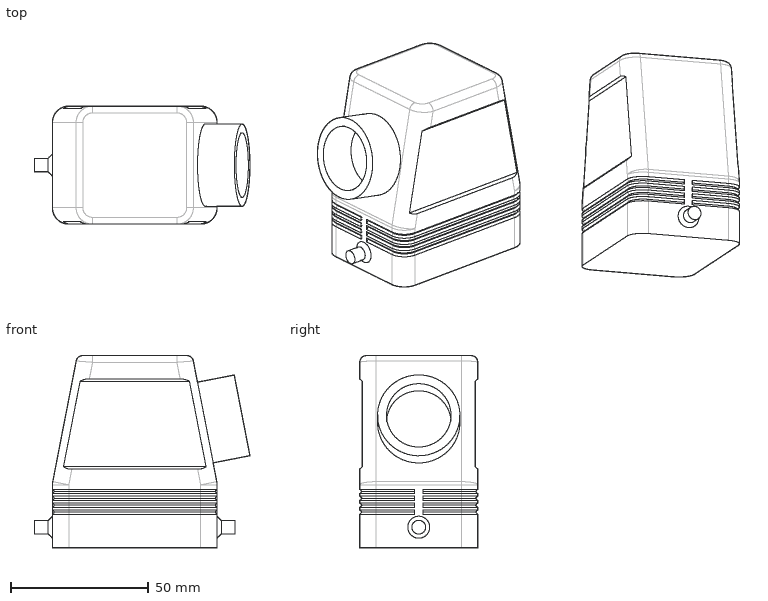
import cadquery as cq
import math

BODY_LENGTH = 60.0
BODY_WIDTH = 43.0
BODY_HEIGHT = 70.0
TAPER_START = 23.5
TAPER_ANGLE = 11.0
CORNER_RADIUS = 6.0
BEND_RADIUS = 6.0
ROOF_RADIUS = 2.5

PANEL_DEPTH = 0.9
PANEL_BOTTOM = 28.6
PANEL_TOP = 61.5

GROOVE_COUNT = 4
GROOVE_PITCH = 2.5
GROOVE_LOWEST_CENTRE = 13.0
GROOVE_WIDTH = 1.6
GROOVE_FLANK_ANGLE = 45.0
STRIP_WIDTH = 3.0

PIN_DIAMETER = 5.0
PIN_LENGTH = 6.5
PIN_HEIGHT = 7.5
FOOT_DIAMETER = 8.0
FOOT_LENGTH = 1.5

COLLAR_DIAMETER = 30.0
COLLAR_BORE = 23.5
COLLAR_TIP_X = 41.95
COLLAR_MOUTH_HEIGHT = 48.2

OVERLAP = 2.0

HALF_LENGTH = BODY_LENGTH / 2
HALF_WIDTH = BODY_WIDTH / 2
TAPER = math.radians(TAPER_ANGLE)


def make_body():
    roof_half_length = HALF_LENGTH - (BODY_HEIGHT - TAPER_START) * math.tan(TAPER)
    outline = [
        (-HALF_LENGTH, 0),
        (HALF_LENGTH, 0),
        (HALF_LENGTH, TAPER_START),
        (roof_half_length, BODY_HEIGHT),
        (-roof_half_length, BODY_HEIGHT),
        (-HALF_LENGTH, TAPER_START),
    ]
    body = cq.Workplane("XZ").polyline(outline).close().extrude(HALF_WIDTH, both=True)
    bends = [
        cq.selectors.NearestToPointSelector((side * HALF_LENGTH, 0, TAPER_START))
        for side in (1, -1)
    ]
    bend_edges = body.edges(bends[0]).add(body.edges(bends[1]))
    body = bend_edges.fillet(BEND_RADIUS)
    upright_edges = body.faces("|Y").edges("not(|X)")
    body = upright_edges.fillet(CORNER_RADIUS)
    return body.faces(">Z").edges().fillet(ROOF_RADIUS)


def make_panel_cut(side):
    """Trapezoidal bar that sinks one long side; side is +1 or -1 along Y."""
    outer = side * HALF_WIDTH
    inner = side * (HALF_WIDTH - PANEL_DEPTH)
    profile = [
        (outer, PANEL_BOTTOM),
        (inner, PANEL_BOTTOM + PANEL_DEPTH),
        (inner, PANEL_TOP - PANEL_DEPTH),
        (outer, PANEL_TOP),
    ]
    return cq.Workplane("YZ").polyline(profile).close().extrude(HALF_LENGTH, both=True)


def make_half_core(centre_z, direction):
    """Part of the base left inside a groove, narrowing towards the groove centre."""
    half_groove = GROOVE_WIDTH / 2
    outline = cq.Sketch().rect(BODY_LENGTH, BODY_WIDTH).vertices().fillet(CORNER_RADIUS)
    start = cq.Workplane("XY", origin=(0, 0, centre_z - direction * half_groove))
    return start.placeSketch(outline).extrude(direction * half_groove, taper=GROOVE_FLANK_ANGLE)


def make_groove_cut(centre_z):
    ring = cq.Workplane("XY", origin=(0, 0, centre_z)).box(BODY_LENGTH, BODY_WIDTH, GROOVE_WIDTH)
    strip = cq.Workplane("XY", origin=(0, 0, centre_z)).box(BODY_LENGTH, STRIP_WIDTH, GROOVE_WIDTH)
    for direction in (1, -1):
        ring = ring.cut(make_half_core(centre_z, direction))
    return ring.cut(strip)


def make_pin(side):
    """Pin on one end wall; side is +1 or -1 along X."""
    wall = side * HALF_LENGTH
    inside = side * (HALF_LENGTH - OVERLAP)
    foot_end = side * (HALF_LENGTH + FOOT_LENGTH)
    tip = side * (HALF_LENGTH + PIN_LENGTH)
    profile = [
        (inside, 0),
        (inside, FOOT_DIAMETER / 2),
        (wall, FOOT_DIAMETER / 2),
        (foot_end, PIN_DIAMETER / 2),
        (tip, PIN_DIAMETER / 2),
        (tip, 0),
    ]
    pin = cq.Workplane("XY").polyline(profile).close().revolve(360, (0, 0, 0), (1, 0, 0))
    return pin.translate((0, 0, PIN_HEIGHT))


def add_collar(hood):
    """Join the collar to the leaning wall and bore it down to the wall plane."""
    mouth_x = COLLAR_TIP_X - COLLAR_DIAMETER / 2 * math.sin(TAPER)
    wall_x = HALF_LENGTH - (COLLAR_MOUTH_HEIGHT - TAPER_START) * math.tan(TAPER)
    collar_length = (mouth_x - wall_x) * math.cos(TAPER)
    mouth = cq.Workplane(
        cq.Plane(
            origin=(mouth_x, 0, COLLAR_MOUTH_HEIGHT),
            xDir=(0, 1, 0),
            normal=(math.cos(TAPER), 0, math.sin(TAPER)),
        )
    )
    collar = mouth.circle(COLLAR_DIAMETER / 2).extrude(-(collar_length + OVERLAP))
    bore = mouth.circle(COLLAR_BORE / 2).extrude(-collar_length)
    return hood.union(collar).cut(bore)


result = make_body()
for side in (1, -1):
    result = result.cut(make_panel_cut(side))
for index in range(GROOVE_COUNT):
    result = result.cut(make_groove_cut(GROOVE_LOWEST_CENTRE + index * GROOVE_PITCH))
for side in (1, -1):
    result = result.union(make_pin(side))
result = add_collar(result)